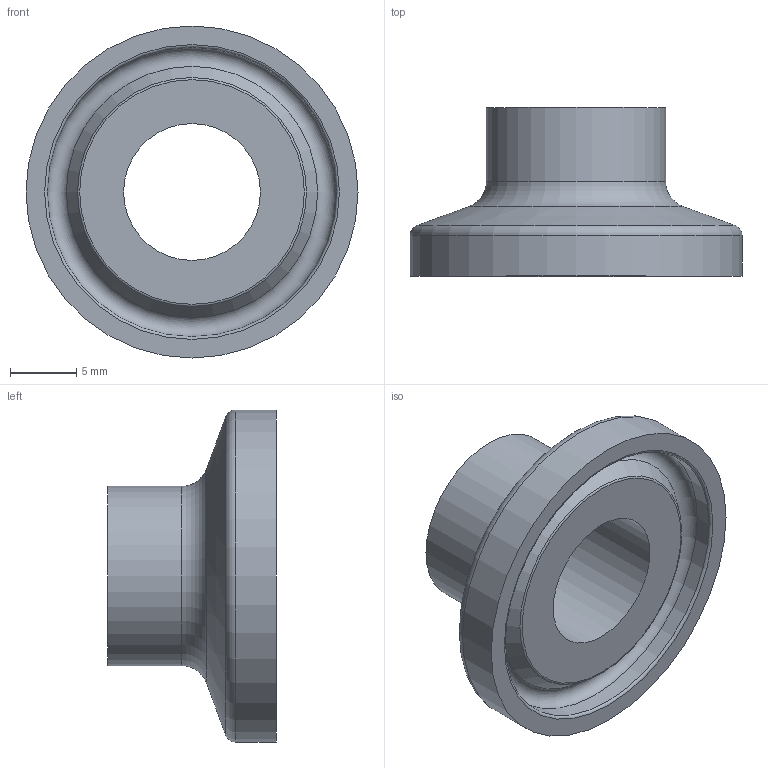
import cadquery as cq
import math


flange_diameter = 25.0
tube_diameter = 13.5
bore_diameter = 10.3
total_length = 12.7

back_taper_angle = 20.0
rim_thickness = 3.63
rim_round_radius = 0.8
neck_fillet_radius = 2.0

seat_recess = 0.75

groove_outer_diameter = 21.8
groove_inner_diameter = 17.12
groove_slope_angle = 37.0
groove_floor_radius = 0.8
groove_lip_radius = 0.2

flange_radius = flange_diameter / 2
tube_radius = tube_diameter / 2
bore_radius = bore_diameter / 2
groove_outer_radius = groove_outer_diameter / 2
groove_inner_radius = groove_inner_diameter / 2

neck_position = rim_thickness + (flange_radius - tube_radius) * math.tan(math.radians(back_taper_angle))
groove_wall_height = (groove_outer_radius - groove_inner_radius) / math.tan(math.radians(groove_slope_angle))
groove_apex_depth = seat_recess + groove_wall_height


def rounded_outline(corners):
    """Closed XY outline through (x, y, radius) corners, rounding each corner that has a radius."""
    outline = None
    for index, (x, y, radius) in enumerate(corners):
        corner = cq.Vector(x, y)
        previous_corner = cq.Vector(*corners[index - 1][:2])
        next_corner = cq.Vector(*corners[(index + 1) % len(corners)][:2])
        to_previous = (previous_corner - corner).normalized()
        to_next = (next_corner - corner).normalized()
        half_angle = to_previous.getAngle(to_next) / 2
        tangent_length = radius / math.tan(half_angle)
        arc_start = corner + to_previous * tangent_length
        if outline is None:
            outline = cq.Workplane("XY").moveTo(arc_start.x, arc_start.y)
        else:
            outline = outline.lineTo(arc_start.x, arc_start.y)
        if radius > 0:
            bisector = (to_previous + to_next).normalized()
            arc_middle = corner + bisector * (radius / math.sin(half_angle) - radius)
            arc_end = corner + to_next * tangent_length
            outline = outline.threePointArc((arc_middle.x, arc_middle.y), (arc_end.x, arc_end.y))
    return outline.close()


sharp = 0
section_corners = [
    (bore_radius, seat_recess, sharp),
    (groove_inner_radius, seat_recess, groove_lip_radius),
    (groove_outer_radius, groove_apex_depth, groove_floor_radius),
    (groove_outer_radius, 0, groove_lip_radius),
    (flange_radius, 0, sharp),
    (flange_radius, rim_thickness, rim_round_radius),
    (tube_radius, neck_position, neck_fillet_radius),
    (tube_radius, total_length, sharp),
    (bore_radius, total_length, sharp),
]

axis_start = (0, 0, 0)
axis_end = (0, 1, 0)
result = rounded_outline(section_corners).revolve(360, axis_start, axis_end)